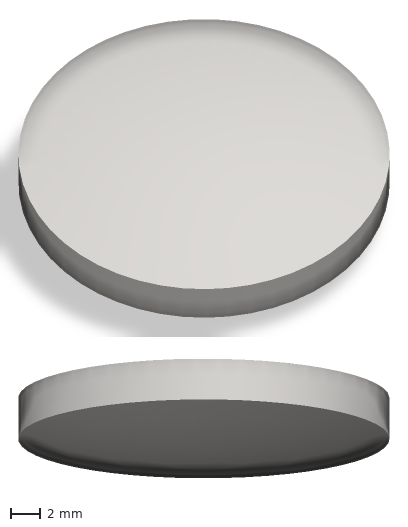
import cadquery as cq

diameter = 25.4
center_thickness = 5.9
edge_thickness = 2.85

radius = diameter / 2
half_center = center_thickness / 2
half_edge = edge_thickness / 2
dome_height = half_center - half_edge
sphere_radius = (radius**2 + dome_height**2) / (2 * dome_height)

mid_radius = radius / 2
sphere_center_z = half_center - sphere_radius
mid_z = sphere_center_z + (sphere_radius**2 - mid_radius**2) ** 0.5

half_section = (
    cq.Workplane("YZ")
    .moveTo(0, -half_center)
    .threePointArc((mid_radius, -mid_z), (radius, -half_edge))
    .lineTo(radius, half_edge)
    .threePointArc((mid_radius, mid_z), (0, half_center))
    .close()
)

result = half_section.revolve(360, (0, 0), (0, 1))